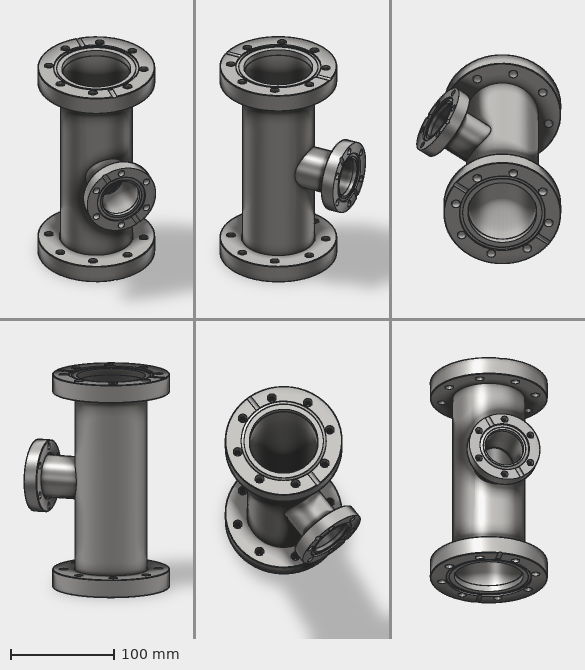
import cadquery as cq

overall_height = 210.0
main_tube_od = 70.0
main_tube_bore = 66.0
main = dict(
    outer_d=113.5,
    thickness=17.6,
    recess_d=82.5,
    knife_d=76.9,
    bore_d=66.5,
    tube_od=main_tube_od,
    tube_depth=7.5,
    insert_d=82.3,
    insert_pocket_d=83.2,
    insert_depth=12.5,
    tube_hole_d=71.5,
    bolt_count=8,
    bolt_circle_d=92.2,
    bolt_hole_d=8.5,
    face_chamfered=True,
)

branch_reach = 77.0
branch_tube_od = 41.0
branch_tube_bore = 38.0
branch = dict(
    outer_d=70.0,
    thickness=13.0,
    recess_d=48.0,
    knife_d=42.0,
    bore_d=branch_tube_bore,
    tube_od=branch_tube_od,
    tube_depth=5.5,
    insert_d=48.0,
    insert_pocket_d=49.0,
    insert_depth=9.2,
    tube_hole_d=45.0,
    bolt_count=6,
    bolt_circle_d=58.8,
    bolt_hole_d=6.5,
    face_chamfered=False,
)

recess_depth = 1.5
knife_depth = 0.6
rim_chamfer = 0.6
leak_groove_width = 4.6
leak_groove_depth = 1.0


def cylinder(diameter, bottom, top):
    """Cylinder on the Z axis between two heights."""
    return cq.Workplane("XY").workplane(offset=bottom).circle(diameter / 2).extrude(top - bottom)


def bolt_holes(size):
    """Through holes evenly spaced on the bolt circle, half a pitch away from the X axis."""
    half_pitch = 180 / size["bolt_count"]
    return (
        cq.Workplane("XY")
        .polarArray(size["bolt_circle_d"] / 2, half_pitch, 360, size["bolt_count"])
        .circle(size["bolt_hole_d"] / 2)
        .extrude(-size["thickness"])
    )


def leak_grooves(size):
    """Shallow round-bottomed groove along X, kept outside the gasket recess."""
    groove_radius = (leak_groove_width**2 / 4 + leak_groove_depth**2) / (2 * leak_groove_depth)
    axis_height = groove_radius - leak_groove_depth
    length = size["outer_d"]
    groove = (
        cq.Workplane("YZ")
        .workplane(offset=-length / 2)
        .center(0, axis_height)
        .circle(groove_radius)
        .extrude(length)
    )
    return groove.cut(cylinder(size["recess_d"], -leak_groove_depth, axis_height + groove_radius))


def flange_disc(size):
    """Outer disc with chamfered back rim, optional face chamfer, bolt holes and leak grooves, but no centre opening."""
    disc = cylinder(size["outer_d"], -size["thickness"], 0)
    disc = disc.faces("<Z").chamfer(rim_chamfer)
    if size["face_chamfered"]:
        disc = disc.faces(">Z").chamfer(rim_chamfer)
    return disc.cut(bolt_holes(size)).cut(leak_grooves(size))


def sealing_core(size, outer_d, depth):
    """Core with a sloped knife edge on its face, a bore, and a socket for the tube end from behind."""
    outer_r = outer_d / 2
    knife_r = size["knife_d"] / 2
    bore_r = size["bore_d"] / 2
    socket_r = size["tube_od"] / 2
    return (
        cq.Workplane("XZ")
        .moveTo(bore_r, -recess_depth)
        .lineTo(knife_r, -recess_depth)
        .lineTo(knife_r, -knife_depth)
        .lineTo(outer_r, -recess_depth)
        .lineTo(outer_r, -depth)
        .lineTo(socket_r, -depth)
        .lineTo(socket_r, -size["tube_depth"])
        .lineTo(bore_r, -size["tube_depth"])
        .close()
        .revolve(360, (0, 0, 0), (0, 1, 0))
    )


def make_fixed_flange(size):
    """One-piece flange: bolt disc and sealing core together."""
    opening = cylinder(size["recess_d"], -size["thickness"], 0)
    core = sealing_core(size, size["recess_d"], size["thickness"])
    return flange_disc(size).cut(opening).union(core)


def make_bolt_ring(size):
    """Bolt ring with a stepped opening: a pocket for the insert and a clearance hole for the tube."""
    pocket = cylinder(size["insert_pocket_d"], -size["insert_depth"], 0)
    tube_hole = cylinder(size["tube_hole_d"], -size["thickness"], 0)
    return flange_disc(size).cut(pocket).cut(tube_hole)


def make_insert(size):
    """Sealing insert that rests on the shoulder inside the bolt ring."""
    return sealing_core(size, size["insert_d"], size["insert_depth"])


def make_main_tube():
    """Main tube along Z with a port for the branch on its +X side."""
    half_length = overall_height / 2 - main["tube_depth"]
    tube = cylinder(main_tube_od, -half_length, half_length)
    tube = tube.cut(cylinder(main_tube_bore, -half_length, half_length))
    port = cq.Workplane("YZ").circle(branch_tube_bore / 2).extrude(main_tube_od)
    return tube.cut(port)


def make_branch_tube():
    """Branch tube along +X, its inner end saddled onto the outside of the main tube."""
    tube = (
        cq.Workplane("YZ")
        .circle(branch_tube_od / 2)
        .circle(branch_tube_bore / 2)
        .extrude(branch_reach - branch["tube_depth"])
    )
    return tube.cut(cylinder(main_tube_od, -branch_tube_od, branch_tube_od))


def place_top(piece):
    return piece.translate((0, 0, overall_height / 2))


def place_bottom(piece):
    return place_top(piece).rotate((0, 0, 0), (1, 0, 0), 180)


def place_branch(piece):
    """Turn by half a bolt pitch, then face the piece along +X."""
    half_pitch = 180 / branch["bolt_count"]
    turned = piece.rotate((0, 0, 0), (0, 0, 1), half_pitch)
    return turned.rotate((0, 0, 0), (0, 1, 0), 90).translate((branch_reach, 0, 0))


main_tube = make_main_tube()
branch_tube = make_branch_tube()
top_flange = place_top(make_fixed_flange(main))
bottom_ring = place_bottom(make_bolt_ring(main))
bottom_insert = place_bottom(make_insert(main))
branch_ring = place_branch(make_bolt_ring(branch))
branch_insert = place_branch(make_insert(branch))

result = cq.Compound.makeCompound([
    main_tube.val(),
    branch_tube.val(),
    top_flange.val(),
    bottom_ring.val(),
    bottom_insert.val(),
    branch_ring.val(),
    branch_insert.val(),
])